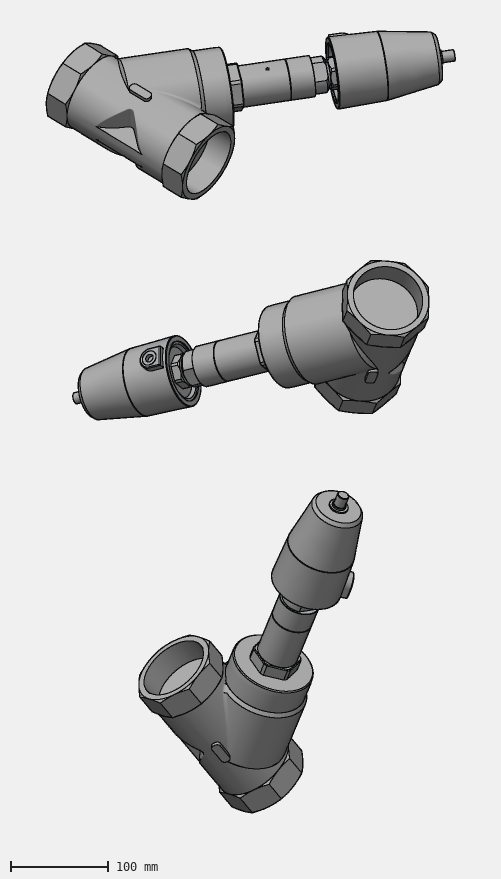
import cadquery as cq
import math


STEM_ANGLE = 50.0
STEM_FOOT_X = -34.8
stem_rad = math.radians(STEM_ANGLE)
stem_plane = cq.Plane(
    origin=(STEM_FOOT_X, 0, 0),
    xDir=(-math.sin(stem_rad), math.cos(stem_rad), 0),
    normal=(math.cos(stem_rad), math.sin(stem_rad), 0),
)

BODY_LENGTH = 180.0
OCTAGON_FLATS = 85.0
OCTAGON_LENGTH = 27.5
OCTAGON_CHAMFER = 2.0
PIPE_RADIUS = 42.4
PORT_DIAMETER = 72.23
PORT_DEPTH = 28.0

BRANCH_RADIUS = 46.5
BRANCH_BOTTOM_S = 11.5
BRANCH_TOP_S = 88.0
BRANCH_TOP_CHAMFER_HEIGHT = 4.2
BRANCH_FOOT_HEIGHT = 4.0
BRANCH_FOOT_INSET = 6.5
CREASE_FILLET = 3.0

PAD_LENGTH = 25.5
PAD_WIDTH = 10.0
PAD_CORNER = 4.0

WEB_THICKNESS = 20.0
POCKET_APEX = (3.6, -16.6)
POCKET_LEFT_MID = (-12.0, -33.0)
POCKET_LEFT_END = (-26.4, -42.0)
POCKET_RIGHT_KNEE = (27.2, -37.0)
POCKET_RIGHT_END = (35.6, -41.5)
POCKET_CLEARANCE = 3.0
POCKET_APEX_FILLET = 5.5
POCKET_RIM_FILLET = 1.0

COLLAR_RADIUS = 43.5
COLLAR_TOP_S = 117.2
COLLAR_TAPER_LENGTH = 6.5
COLLAR_TAPER = 0.3
COLLAR_CHAMFER = 1.2
BONNET_HEX_FLATS = 46.0
BONNET_HEX_TURNED = 51.0
BONNET_HEX_CHAMFER = 1.0
BONNET_TOP_S = 131.2

TUBE_DIAMETER = 43.0
TUBE_JOINT_S = 181.0
TUBE_TOP_S = 206.6
TUBE_EDGE_CHAMFER = 0.4
VENT_DIAMETER = 3.0
VENT_S = 160.4
VENT_DEPTH = 5.0
NECK_DIAMETER = 38.0
NECK_TOP_S = 221.2
NECK_CHAMFER = 2.0
NECK_FLATS = 32.5
NECK_FLAT_TILT = 30.0

BASE_BOTTOM_S = 228.0
BASE_TOP_S = 279.5
BASE_BOTTOM_RADIUS = 37.5
BASE_TOP_RADIUS = 36.0
BASE_BOTTOM_CHAMFER = 0.8
RECESS_RADIUS = 31.5
RECESS_DEPTH = 1.5
RECESS_CONE_RADIUS = 28.8
RECESS_FLOOR_RADIUS = 26.6
RECESS_FLOOR_S = 233.2
BASE_HEX_FLATS = 32.0
BASE_HEX_TURNED = 35.2
BASE_HEX_BOTTOM_S = 224.0
BASE_HEX_CHAMFER = 1.5
SPIGOT_DIAMETER = 24.38

AIR_PORT_S = 244.6
AIR_BLOCK_BOTTOM_S = 232.0
AIR_BLOCK_RADIUS = 11.2
AIR_BLOCK_REACH = 43.3
AIR_BLOCK_ROOT = 30.0
AIR_SEAT_DIAMETER = 16.0
AIR_SEAT_DEPTH = 0.5
AIR_HOLE_DIAMETER = 8.57
AIR_HOLE_DEPTH = 5.5
AIR_BLOCK_CHAMFER = 1.0

CAP_SHOULDER_S = 334.5
CAP_SHOULDER_RADIUS = 27.4
CAP_TOP_S = 338.6
CAP_TOP_RADIUS = 24.2
JOINT_CHAMFER = 0.4

FLANGE_DIAMETER = 20.0
FLANGE_TOP_S = 340.3
SHOULDER_DIAMETER = 14.5
SHOULDER_TOP_S = 342.2
PLUG_DIAMETER = 12.0
PLUG_TOP_S = 355.4
PLUG_CHAMFER = 0.5


def disc(diameter, bottom_s, top_s):
    """Cylinder on the local stem axis."""
    return cq.Workplane("XY").workplane(offset=bottom_s).circle(diameter / 2).extrude(top_s - bottom_s)


def turned(profile):
    """Solid turned about the local stem axis from (radius, s) points; the axis closes it."""
    first_s = profile[0][1]
    last_s = profile[-1][1]
    outline = [(0, first_s)] + profile + [(0, last_s)]
    return cq.Workplane("XZ").polyline(outline).close().revolve(360, (0, 0, 0), (0, 1, 0))


def hexagon(flats, turned_diameter, bottom_s, top_s):
    """Hexagon with two flats square to local Y and its corners turned down."""
    corner_diameter = flats / math.cos(math.pi / 6)
    base_plane = cq.Workplane("XY").workplane(offset=bottom_s)
    prism = base_plane.polygon(6, corner_diameter).extrude(top_s - bottom_s)
    return prism.intersect(disc(turned_diameter, bottom_s, top_s))


def on_stem(part):
    """Move a part built on the local stem axis to its place on the valve."""
    return cq.Workplane("XY").newObject([part.val().moved(cq.Location(stem_plane))])


def octagon_end(start_x):
    """Octagonal spanner end of the pipe, from start_x on, with its corners chamfered at both ends."""
    flat_radius = OCTAGON_FLATS / 2
    corner_radius = flat_radius / math.cos(math.pi / 8)
    prism = (
        cq.Workplane("YZ").workplane(offset=start_x).polygon(8, 2 * corner_radius).extrude(OCTAGON_LENGTH)
        .rotate((0, 0, 0), (1, 0, 0), 180 / 8)
    )
    envelope = (
        cq.Workplane("YZ").workplane(offset=start_x).circle(corner_radius).extrude(OCTAGON_LENGTH)
        .faces("<X or >X").chamfer(OCTAGON_CHAMFER, corner_radius - flat_radius)
    )
    return prism.intersect(envelope)


def branch():
    shape = turned([
        (BRANCH_RADIUS - BRANCH_FOOT_INSET, BRANCH_BOTTOM_S - BRANCH_FOOT_HEIGHT),
        (BRANCH_RADIUS, BRANCH_BOTTOM_S),
        (BRANCH_RADIUS, BRANCH_TOP_S - BRANCH_TOP_CHAMFER_HEIGHT),
        (COLLAR_RADIUS, BRANCH_TOP_S),
    ])
    return on_stem(shape)


def pocket(side):
    """Pocket above (side = 1) or below (side = -1) the web, open to the -Y face of the pipe."""
    open_y = -PIPE_RADIUS - POCKET_CLEARANCE
    return (
        cq.Workplane("XY").workplane(offset=side * WEB_THICKNESS / 2)
        .moveTo(*POCKET_APEX)
        .threePointArc(POCKET_LEFT_MID, POCKET_LEFT_END)
        .lineTo(POCKET_LEFT_END[0], open_y)
        .lineTo(POCKET_RIGHT_END[0], open_y)
        .lineTo(*POCKET_RIGHT_END)
        .lineTo(*POCKET_RIGHT_KNEE)
        .close()
        .extrude(side * PIPE_RADIUS)
        .edges("|Z and >Y").fillet(POCKET_APEX_FILLET)
    )


def crease_edges():
    """Edges where the branch leans over the +X half of the pipe."""
    return cq.selectors.BoxSelector(
        (0, 0, -BRANCH_RADIUS),
        (BODY_LENGTH / 2 - OCTAGON_LENGTH, PIPE_RADIUS, BRANCH_RADIUS),
    )


def pocket_rim_edges(side):
    """Edges where the walls of a pocket come out of the pipe surface."""
    nearby = cq.selectors.BoxSelector(
        (POCKET_LEFT_END[0], -PIPE_RADIUS, side * (WEB_THICKNESS / 2 + POCKET_RIM_FILLET)),
        (POCKET_RIGHT_END[0], POCKET_APEX[1], side * PIPE_RADIUS),
    )
    return nearby - cq.selectors.ParallelDirSelector(cq.Vector(0, 0, 1))


def collar_seat():
    """Room for the collar where the pipe reaches past the top of the branch."""
    return on_stem(disc(2 * COLLAR_RADIUS, BRANCH_TOP_S, COLLAR_TOP_S))


def make_body():
    pipe = cq.Workplane("YZ").workplane(offset=-BODY_LENGTH / 2).circle(PIPE_RADIUS).extrude(BODY_LENGTH)
    body = pipe.union(branch())
    body = body.edges(crease_edges()).fillet(CREASE_FILLET)
    for start_x in (-BODY_LENGTH / 2, BODY_LENGTH / 2 - OCTAGON_LENGTH):
        body = body.union(octagon_end(start_x))
    body = body.cut(collar_seat())
    pads = (
        cq.Workplane("XY").box(PAD_LENGTH, PAD_WIDTH, 2 * BRANCH_RADIUS)
        .edges("|Z").fillet(PAD_CORNER)
    )
    body = body.union(pads)
    for side in (1, -1):
        body = body.cut(pocket(side))
        body = body.edges(pocket_rim_edges(side)).fillet(POCKET_RIM_FILLET)
    for face in ("<X", ">X"):
        body = body.faces(face).workplane(origin=(0, 0, 0)).hole(PORT_DIAMETER, PORT_DEPTH)
    return body


def make_bonnet():
    collar = turned([
        (COLLAR_RADIUS, BRANCH_TOP_S),
        (COLLAR_RADIUS, COLLAR_TOP_S - COLLAR_TAPER_LENGTH),
        (COLLAR_RADIUS - COLLAR_TAPER, COLLAR_TOP_S - COLLAR_CHAMFER),
        (COLLAR_RADIUS - COLLAR_TAPER - COLLAR_CHAMFER, COLLAR_TOP_S),
    ])
    nut = hexagon(BONNET_HEX_FLATS, BONNET_HEX_TURNED, COLLAR_TOP_S, BONNET_TOP_S)
    nut = nut.faces(">Z").chamfer(BONNET_HEX_CHAMFER)
    return on_stem(collar.union(nut))


def make_lower_tube():
    tube = disc(TUBE_DIAMETER, BONNET_TOP_S, TUBE_JOINT_S).faces(">Z").chamfer(TUBE_EDGE_CHAMFER)
    vent = (
        cq.Workplane("XZ", origin=(0, TUBE_DIAMETER / 2, 0))
        .center(0, VENT_S).circle(VENT_DIAMETER / 2).extrude(VENT_DEPTH)
    )
    return on_stem(tube.cut(vent))


def make_upper_tube():
    tube = disc(TUBE_DIAMETER, TUBE_JOINT_S, TUBE_TOP_S).faces("<Z or >Z").chamfer(TUBE_EDGE_CHAMFER)
    neck_length = NECK_TOP_S - TUBE_TOP_S
    neck = disc(NECK_DIAMETER, TUBE_TOP_S, NECK_TOP_S).faces(">Z").chamfer(NECK_CHAMFER)
    flats = (
        cq.Workplane("XY").workplane(offset=TUBE_TOP_S)
        .rect(NECK_DIAMETER, NECK_FLATS).extrude(neck_length)
        .rotate((0, 0, 0), (0, 0, 1), NECK_FLAT_TILT)
    )
    spigot = disc(SPIGOT_DIAMETER, NECK_TOP_S, BASE_HEX_BOTTOM_S)
    return on_stem(tube.union(neck.intersect(flats)).union(spigot))


def air_block():
    """Block with a rounded upper end, standing out sideways along local X."""
    flat_length = AIR_PORT_S - AIR_BLOCK_BOTTOM_S
    face = cq.Workplane("YZ", origin=(AIR_BLOCK_ROOT, 0, AIR_PORT_S))
    height = AIR_BLOCK_REACH - AIR_BLOCK_ROOT
    round_end = face.circle(AIR_BLOCK_RADIUS).extrude(height)
    square_end = face.center(0, -flat_length / 2).rect(2 * AIR_BLOCK_RADIUS, flat_length).extrude(height)
    return round_end.union(square_end).faces(">X").chamfer(AIR_BLOCK_CHAMFER)


def air_bore():
    outside = cq.Workplane("YZ", origin=(AIR_BLOCK_REACH, 0, AIR_PORT_S))
    seat = outside.circle(AIR_SEAT_DIAMETER / 2).extrude(-AIR_SEAT_DEPTH)
    hole = outside.circle(AIR_HOLE_DIAMETER / 2).extrude(-AIR_HOLE_DEPTH)
    return seat.union(hole)


def make_base():
    shell = turned([
        (BASE_BOTTOM_RADIUS - BASE_BOTTOM_CHAMFER, BASE_BOTTOM_S),
        (BASE_BOTTOM_RADIUS, BASE_BOTTOM_S + BASE_BOTTOM_CHAMFER),
        (BASE_TOP_RADIUS, BASE_TOP_S - JOINT_CHAMFER),
        (BASE_TOP_RADIUS - JOINT_CHAMFER, BASE_TOP_S),
    ])
    recess = turned([
        (RECESS_RADIUS, BASE_BOTTOM_S),
        (RECESS_RADIUS, BASE_BOTTOM_S + RECESS_DEPTH),
        (RECESS_CONE_RADIUS, BASE_BOTTOM_S + RECESS_DEPTH),
        (RECESS_FLOOR_RADIUS, RECESS_FLOOR_S),
    ])
    nut = hexagon(BASE_HEX_FLATS, BASE_HEX_TURNED, BASE_HEX_BOTTOM_S, RECESS_FLOOR_S)
    nut_envelope = disc(BASE_HEX_TURNED, BASE_HEX_BOTTOM_S, RECESS_FLOOR_S)
    nut_envelope = nut_envelope.faces("<Z").chamfer(BASE_HEX_CHAMFER)
    base = shell.union(air_block()).cut(recess)
    base = base.union(nut.intersect(nut_envelope)).cut(air_bore())
    return on_stem(base)


def make_cap():
    return on_stem(turned([
        (BASE_TOP_RADIUS - JOINT_CHAMFER, BASE_TOP_S),
        (BASE_TOP_RADIUS, BASE_TOP_S + JOINT_CHAMFER),
        (CAP_SHOULDER_RADIUS, CAP_SHOULDER_S),
        (CAP_TOP_RADIUS, CAP_TOP_S),
    ]))


def make_connector():
    flange = disc(FLANGE_DIAMETER, CAP_TOP_S, FLANGE_TOP_S)
    shoulder = disc(SHOULDER_DIAMETER, FLANGE_TOP_S, SHOULDER_TOP_S)
    plug = disc(PLUG_DIAMETER, SHOULDER_TOP_S, PLUG_TOP_S).faces(">Z").chamfer(PLUG_CHAMFER)
    return on_stem(flange.union(shoulder).union(plug))


body = make_body()
bonnet = make_bonnet()
lower_tube = make_lower_tube()
upper_tube = make_upper_tube()
base = make_base()
cap = make_cap()
connector = make_connector()

bodies = [body, bonnet, lower_tube, upper_tube, base, cap, connector]
result = cq.Compound.makeCompound([part.solids().val() for part in bodies])